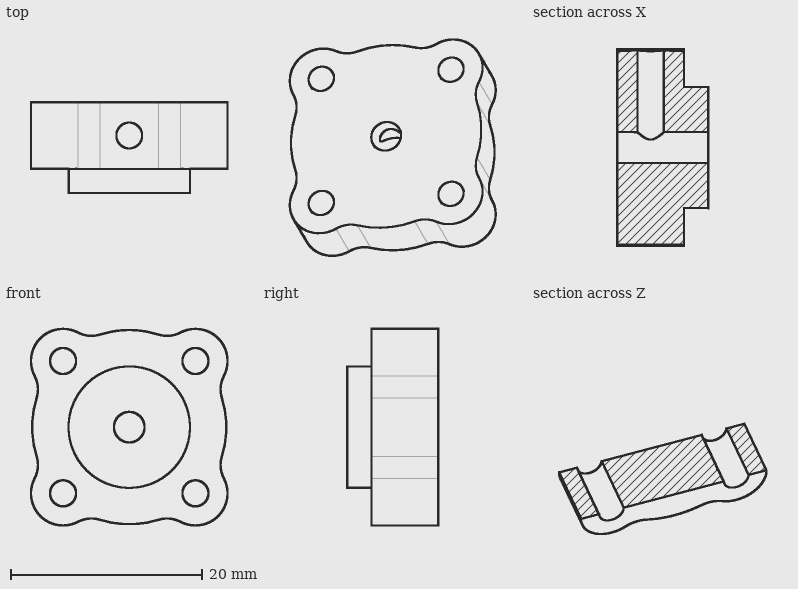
import cadquery as cq
import math

total_length = 9.525
boss_length = 2.54
flange_thickness = total_length - boss_length
boss_diameter = 12.7
bore_diameter = 3.175

bolt_circle_diameter = 19.558
overall_width = 20.57
disc_radius = 10.16
blend_radius = 3.0
hole_offset = bolt_circle_diameter / 2 * math.sin(math.pi / 4)
lobe_radius = overall_width / 2 - hole_offset

mounting_hole_diameter = 2.7
set_screw_diameter = 2.7


def point_towards(start, end, distance):
    """Point at the given distance from start along the line to end."""
    span = math.dist(start, end)
    return tuple(a + (b - a) * distance / span for a, b in zip(start, end))


def turned(point, quarter_turns):
    """Point rotated clockwise about the hub axis by quarter turns."""
    x, z = point
    for _ in range(quarter_turns):
        x, z = z, -x
    return x, z


def flange_profile():
    """Closed flange outline in the XZ plane, traced clockwise from the top."""
    lobe_centre = (hole_offset, hole_offset)
    lobe_distance = math.hypot(*lobe_centre)
    disc_reach = disc_radius + blend_radius
    lobe_reach = lobe_radius + blend_radius
    cos_angle = (disc_reach**2 + lobe_distance**2 - lobe_reach**2) / (2 * disc_reach * lobe_distance)
    blend_angle = math.pi / 4 + math.acos(cos_angle)
    blend_centre = (disc_reach * math.cos(blend_angle), disc_reach * math.sin(blend_angle))

    disc_end = point_towards((0, 0), blend_centre, disc_radius)
    lobe_start = point_towards(lobe_centre, blend_centre, lobe_radius)
    chord_middle = tuple((a + b) / 2 for a, b in zip(disc_end, lobe_start))
    blend_middle = point_towards(blend_centre, chord_middle, blend_radius)

    lobe_tip = point_towards((0, 0), lobe_centre, lobe_distance + lobe_radius)
    lobe_end = lobe_start[::-1]
    second_blend_middle = blend_middle[::-1]
    next_disc_start = disc_end[::-1]

    profile = cq.Workplane("XZ").moveTo(-disc_end[0], disc_end[1])
    for quarter in range(4):
        profile = (
            profile.threePointArc(turned((0, disc_radius), quarter), turned(disc_end, quarter))
            .threePointArc(turned(blend_middle, quarter), turned(lobe_start, quarter))
            .threePointArc(turned(lobe_tip, quarter), turned(lobe_end, quarter))
            .threePointArc(turned(second_blend_middle, quarter), turned(next_disc_start, quarter))
        )
    return profile.close()


def make_body():
    """Lobed flange from Y = 0 backwards with the round boss in front of it."""
    flange = flange_profile().extrude(-flange_thickness)
    boss = cq.Workplane("XZ").circle(boss_diameter / 2).extrude(boss_length)
    return flange.union(boss)


def make_axial_holes():
    """Central bore and four mounting holes, all through along Y."""
    back_plane = cq.Workplane("XZ", origin=(0, flange_thickness, 0))
    bore = back_plane.circle(bore_diameter / 2).extrude(total_length)
    mounting_holes = (
        back_plane.rect(2 * hole_offset, 2 * hole_offset, forConstruction=True)
        .vertices()
        .circle(mounting_hole_diameter / 2)
        .extrude(total_length)
    )
    return bore.union(mounting_holes)


def make_set_screw_hole():
    """Radial hole from the top face down into the bore, centred in the flange thickness."""
    return (
        cq.Workplane("XY", origin=(0, flange_thickness / 2, 0))
        .circle(set_screw_diameter / 2)
        .extrude(overall_width / 2)
    )


result = make_body().cut(make_axial_holes()).cut(make_set_screw_hole())